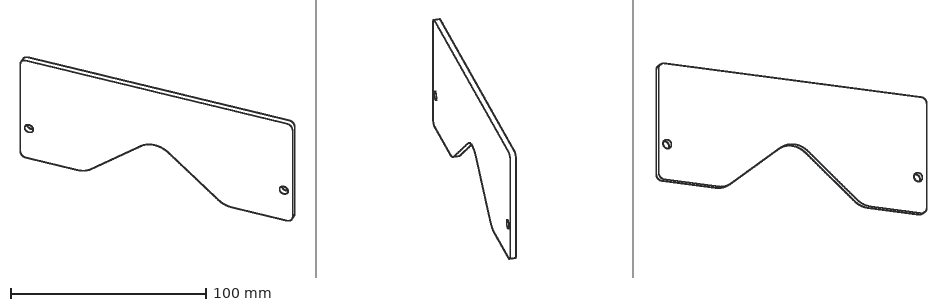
import cadquery as cq
import math

length = 150.5
thickness = 3.2
height = 62.3
corner_radius = 3.2

hole_diameter = 4.7
hole_spacing = 140.8
hole_height = 19.1

notch_center_x = -0.9
notch_depth = 28.0
notch_slope = 39.3
apex_radius = 12.0
mouth_radius = 12.0

bottom = -height / 2
slope = math.radians(notch_slope)
sharp_depth = notch_depth + apex_radius * (1 / math.cos(slope) - 1)
mouth_half_width = sharp_depth / math.tan(slope)


def make_plate():
    plate = cq.Workplane("XZ").rect(length, height).extrude(thickness / 2, both=True)
    return plate.edges("|Y").fillet(corner_radius)


def make_notched(plate):
    notch = (
        cq.Workplane("XZ")
        .moveTo(notch_center_x - mouth_half_width, bottom)
        .lineTo(notch_center_x, bottom + sharp_depth)
        .lineTo(notch_center_x + mouth_half_width, bottom)
        .close()
        .extrude(thickness, both=True)
    )
    apex_edge = cq.selectors.NearestToPointSelector((notch_center_x, 0, bottom + sharp_depth))
    notched = plate.cut(notch).edges("|Y").edges(apex_edge).fillet(apex_radius)
    for side in (-1, 1):
        mouth_x = notch_center_x + side * mouth_half_width
        mouth_edge = cq.selectors.NearestToPointSelector((mouth_x, 0, bottom))
        notched = notched.edges("|Y").edges(mouth_edge).fillet(mouth_radius)
    return notched


def make_holes():
    return (
        cq.Workplane("XZ")
        .pushPoints([(side * hole_spacing / 2, bottom + hole_height) for side in (-1, 1)])
        .circle(hole_diameter / 2)
        .extrude(thickness, both=True)
    )


result = make_notched(make_plate()).cut(make_holes())